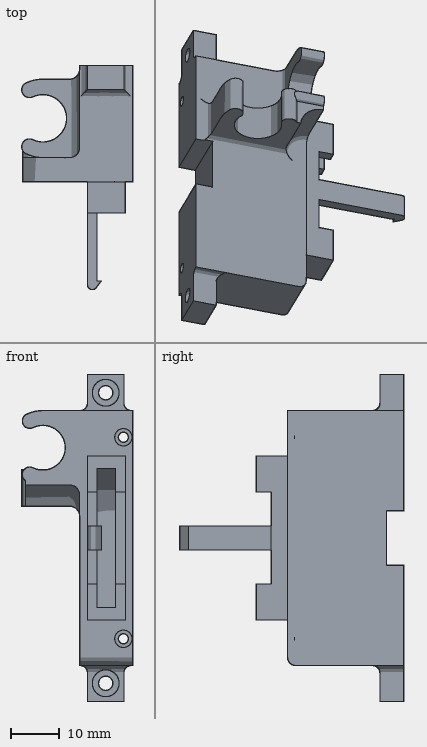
import cadquery as cq
import math

BODY_WIDTH = 11.0
BODY_DEPTH = 24.0
BODY_HEIGHT = 52.65
BODY_BOTTOM_ROUND = 1.7

EAR_LEFT = 1.6
EAR_WIDTH = 7.55
EAR_HEIGHT = 7.4
EAR_THICKNESS = 5.0
EAR_FILLET = 1.5
EAR_HOLE_DIAMETER = 2.9
EAR_BORE_DIAMETER = 5.55
EAR_BORE_DEPTH = 3.0
EAR_HOLE_RISE = 3.65

NOTCH_DEPTH = 3.6
NOTCH_HEIGHT = 11.2
NOTCH_TOP = BODY_HEIGHT - 20.7

SCREW_X = 9.05
SCREW_EDGE_DISTANCE = 5.55
SCREW_HOLE_DIAMETER = 2.0
SCREW_BORE_DIAMETER = 3.6
SCREW_BORE_DEPTH = 1.5

CLIP_AXIS_X = -7.55
FRONT_CLIP_BORE_RADIUS = 4.6
FRONT_CLIP_OUTER_RADIUS = 7.7
FRONT_CLIP_TIP_X = -11.8
FRONT_CLIP_THICKNESS = 5.0
LEVEL_CLIP_BORE_RADIUS = 4.85
LEVEL_CLIP_OUTER_RADIUS = 8.1
LEVEL_CLIP_TIP_X = -11.95
LEVEL_CLIP_THICKNESS = 7.55
LEVEL_CLIP_TOP = BODY_HEIGHT - 12.2
CLIP_FILLET = 2.0

WEB_LENGTH = 11.15
WEB_DEPTH = 6.75
WEB_HOLLOW_RADIUS = FRONT_CLIP_THICKNESS

BLOCK_LEFT = EAR_LEFT
BLOCK_WIDTH = 7.8
BLOCK_HEIGHT = 33.9
BLOCK_DEPTH = 6.5
BLOCK_END_HEIGHT = 7.5
BLOCK_MIDDLE_DEPTH = 3.4
SLOT_WIDTH = 3.8
SLOT_END_WALL = 2.6
SLOT_CURVE_HEIGHT = 9.4

LEVER_THICKNESS = 2.0
LEVER_HEIGHT = 5.0
LEVER_REACH = 22.3
HOOK_OVERHANG = 0.9
HOOK_SETBACK = 1.8

SELECTION_MARGIN = 0.1

MID_HEIGHT = BODY_HEIGHT / 2
FRONT_CLIP_AXIS_Z = BODY_HEIGHT - FRONT_CLIP_OUTER_RADIUS
FRONT_CLIP_BOTTOM = FRONT_CLIP_AXIS_Z - FRONT_CLIP_OUTER_RADIUS
LEVEL_CLIP_AXIS_Y = FRONT_CLIP_THICKNESS + LEVEL_CLIP_OUTER_RADIUS
LEVEL_CLIP_BOTTOM = LEVEL_CLIP_TOP - LEVEL_CLIP_THICKNESS


def box(x_range, y_range, z_range):
    """Box between two coordinates on each axis."""
    size = [high - low for low, high in (x_range, y_range, z_range)]
    return cq.Workplane("XY").box(*size, centered=False).translate((x_range[0], y_range[0], z_range[0]))


def clip_profile(plane, axis, bore_radius, outer_radius, tip_x):
    """C-shaped clip around `axis`, open toward -X, with round tips and a straight root at X = 0."""
    tip_radius = (outer_radius - bore_radius) / 2
    tip_dx = tip_x + tip_radius - axis[0]
    angle = math.acos(tip_dx / (bore_radius + tip_radius))

    def point(radius, at_angle):
        return (axis[0] + radius * math.cos(at_angle), axis[1] + radius * math.sin(at_angle))

    def tip_end(side):
        center = point(bore_radius + tip_radius, side * angle)
        turn = side * (angle + math.pi / 2)
        return (center[0] + tip_radius * math.cos(turn), center[1] + tip_radius * math.sin(turn))

    outer_middle = (math.pi / 2 + angle) / 2
    return (
        cq.Workplane(plane)
        .moveTo(0, axis[1] - outer_radius)
        .lineTo(0, axis[1] + outer_radius)
        .lineTo(axis[0], axis[1] + outer_radius)
        .threePointArc(point(outer_radius, outer_middle), point(outer_radius, angle))
        .threePointArc(tip_end(1), point(bore_radius, angle))
        .threePointArc(point(bore_radius, 0), point(bore_radius, -angle))
        .threePointArc(tip_end(-1), point(outer_radius, -angle))
        .threePointArc(point(outer_radius, -outer_middle), (axis[0], axis[1] - outer_radius))
        .close()
    )


def make_body():
    """Plain body with its lower front edge rounded."""
    body = box((0, BODY_WIDTH), (0, BODY_DEPTH), (0, BODY_HEIGHT))
    return body.edges("<Y and <Z").fillet(BODY_BOTTOM_ROUND)


def front_clip_profile():
    """Outline of the clip that is bored along Y."""
    axis = (CLIP_AXIS_X, FRONT_CLIP_AXIS_Z)
    return clip_profile("XZ", axis, FRONT_CLIP_BORE_RADIUS, FRONT_CLIP_OUTER_RADIUS, FRONT_CLIP_TIP_X)


def make_level_clip(top):
    """Level clip from its underside up to the height `top`."""
    axis = (CLIP_AXIS_X, LEVEL_CLIP_AXIS_Y)
    profile = clip_profile("XY", axis, LEVEL_CLIP_BORE_RADIUS, LEVEL_CLIP_OUTER_RADIUS, LEVEL_CLIP_TIP_X)
    return profile.extrude(top - LEVEL_CLIP_BOTTOM).translate((0, 0, LEVEL_CLIP_BOTTOM))


def make_web():
    """Straight web below the front clip's opening, with a quarter-round hollow in its underside."""
    web = box((-WEB_LENGTH, 0), (0, WEB_DEPTH), (LEVEL_CLIP_BOTTOM, LEVEL_CLIP_TOP))
    hollow = (
        cq.Workplane("YZ")
        .center(0, FRONT_CLIP_BOTTOM - WEB_HOLLOW_RADIUS)
        .circle(WEB_HOLLOW_RADIUS)
        .extrude(-WEB_LENGTH)
    )
    bore = (
        cq.Workplane("XZ")
        .center(CLIP_AXIS_X, FRONT_CLIP_AXIS_Z)
        .circle(FRONT_CLIP_BORE_RADIUS)
        .extrude(-WEB_DEPTH)
    )
    return web.cut(hollow).cut(bore)


def make_prong_extension():
    """Lower prong of the front clip, carried back until it meets the upright side of the level clip."""
    lower_prong_zone = box(
        (FRONT_CLIP_TIP_X, CLIP_AXIS_X), (0, WEB_DEPTH), (FRONT_CLIP_BOTTOM, FRONT_CLIP_AXIS_Z)
    )
    prong = front_clip_profile().extrude(-WEB_DEPTH).intersect(lower_prong_zone)
    return prong.cut(make_level_clip(FRONT_CLIP_AXIS_Z))


def make_clips():
    """Both clips and everything that joins them."""
    front_clip = front_clip_profile().extrude(-FRONT_CLIP_THICKNESS)
    level_clip = make_level_clip(LEVEL_CLIP_TOP)
    return front_clip.union(level_clip).union(make_web()).union(make_prong_extension())


def fillet_clip_roots(solid):
    """Round the inside corners between the clips and the left side of the body."""
    roots = cq.selectors.BoxSelector(
        (-SELECTION_MARGIN, SELECTION_MARGIN, LEVEL_CLIP_BOTTOM - SELECTION_MARGIN),
        (SELECTION_MARGIN, BODY_DEPTH - SELECTION_MARGIN, BODY_HEIGHT - SELECTION_MARGIN),
    )
    return solid.edges(roots).fillet(CLIP_FILLET)


def drill(solid, x, y, z, diameter, depth):
    """Cut a round hole running toward +Y from the point (x, y, z)."""
    cutter = cq.Workplane("XZ").circle(diameter / 2).extrude(-depth).translate((x, y, z))
    return solid.cut(cutter)


def add_ears(solid):
    """Add an ear to each end, with a counterbored hole and a fillet around its foot."""
    ear_front = BODY_DEPTH - EAR_THICKNESS
    ear_right = EAR_LEFT + EAR_WIDTH
    hole_x = EAR_LEFT + EAR_WIDTH / 2
    for end_z, outward in ((BODY_HEIGHT, 1), (0, -1)):
        tip_z = end_z + outward * EAR_HEIGHT
        hole_z = end_z + outward * EAR_HOLE_RISE
        z_range = (min(end_z, tip_z), max(end_z, tip_z))
        solid = solid.union(box((EAR_LEFT, ear_right), (ear_front, BODY_DEPTH), z_range))
        solid = drill(solid, hole_x, ear_front, hole_z, EAR_HOLE_DIAMETER, EAR_THICKNESS)
        solid = drill(solid, hole_x, ear_front, hole_z, EAR_BORE_DIAMETER, EAR_BORE_DEPTH)
        foot = cq.selectors.BoxSelector(
            (EAR_LEFT - SELECTION_MARGIN, ear_front - SELECTION_MARGIN, end_z - SELECTION_MARGIN),
            (ear_right + SELECTION_MARGIN, BODY_DEPTH - SELECTION_MARGIN, end_z + SELECTION_MARGIN),
        )
        solid = solid.edges(foot).fillet(EAR_FILLET)
    return solid


def cut_screw_holes(solid):
    """Cut the two counterbored screw holes from the front face."""
    for z in (SCREW_EDGE_DISTANCE, BODY_HEIGHT - SCREW_EDGE_DISTANCE):
        solid = drill(solid, SCREW_X, 0, z, SCREW_HOLE_DIAMETER, BODY_DEPTH)
        solid = drill(solid, SCREW_X, 0, z, SCREW_BORE_DIAMETER, SCREW_BORE_DEPTH)
    return solid


def cut_back_notch(solid):
    """Cut a notch across the back face, trimming the clip fillet next to it."""
    notch = box(
        (-CLIP_FILLET, BODY_WIDTH),
        (BODY_DEPTH - NOTCH_DEPTH, BODY_DEPTH),
        (NOTCH_TOP - NOTCH_HEIGHT, NOTCH_TOP),
    )
    return solid.cut(notch)


def make_block():
    """Front block, stepped down between its two ends."""
    block_sides = (BLOCK_LEFT, BLOCK_LEFT + BLOCK_WIDTH)
    bottom = MID_HEIGHT - BLOCK_HEIGHT / 2
    top = MID_HEIGHT + BLOCK_HEIGHT / 2
    block = box(block_sides, (-BLOCK_DEPTH, 0), (bottom, top))
    step = box(
        block_sides,
        (-BLOCK_DEPTH, -BLOCK_MIDDLE_DEPTH),
        (bottom + BLOCK_END_HEIGHT, top - BLOCK_END_HEIGHT),
    )
    return block.cut(step)


def make_slot():
    """Slot as deep as the block, with a floor that curves up to the block's front at both ends."""
    half_height = BLOCK_HEIGHT / 2 - SLOT_END_WALL
    half_floor = half_height - SLOT_CURVE_HEIGHT
    front_y = -BLOCK_DEPTH
    curve_radius = (SLOT_CURVE_HEIGHT**2 + BLOCK_DEPTH**2) / (2 * BLOCK_DEPTH)
    half_sweep = math.asin(SLOT_CURVE_HEIGHT / curve_radius) / 2
    middle_y = -curve_radius * (1 - math.cos(half_sweep))
    middle_z = half_floor + curve_radius * math.sin(half_sweep)
    slot = (
        cq.Workplane("YZ")
        .moveTo(front_y, -half_height)
        .threePointArc((middle_y, -middle_z), (0, -half_floor))
        .lineTo(0, half_floor)
        .threePointArc((middle_y, middle_z), (front_y, half_height))
        .close()
        .extrude(SLOT_WIDTH)
    )
    return slot.translate((BLOCK_LEFT + (BLOCK_WIDTH - SLOT_WIDTH) / 2, 0, MID_HEIGHT))


def make_lever():
    """Lever with a round tip and a pointed hook on its right side."""
    tip_radius = LEVER_THICKNESS / 2
    tip_center = (BLOCK_LEFT + tip_radius, -LEVER_REACH + tip_radius)
    right_side = BLOCK_LEFT + LEVER_THICKNESS
    hook_y = -LEVER_REACH + HOOK_SETBACK
    hook_dx = right_side + HOOK_OVERHANG - tip_center[0]
    hook_dy = hook_y - tip_center[1]
    tangent_angle = math.atan2(hook_dy, hook_dx) - math.acos(tip_radius / math.hypot(hook_dx, hook_dy))
    tangent_point = (
        tip_center[0] + tip_radius * math.cos(tangent_angle),
        tip_center[1] + tip_radius * math.sin(tangent_angle),
    )
    return (
        cq.Workplane("XY")
        .moveTo(BLOCK_LEFT, 0)
        .lineTo(BLOCK_LEFT, tip_center[1])
        .threePointArc((tip_center[0], -LEVER_REACH), tangent_point)
        .lineTo(right_side + HOOK_OVERHANG, hook_y)
        .lineTo(right_side, hook_y)
        .lineTo(right_side, 0)
        .close()
        .extrude(LEVER_HEIGHT)
        .translate((0, 0, MID_HEIGHT - LEVER_HEIGHT / 2))
    )


body = fillet_clip_roots(make_body().union(make_clips()))
body = add_ears(body)
body = cut_screw_holes(body)
body = cut_back_notch(body)
front_block = make_block().cut(make_slot())
result = body.union(front_block).union(make_lever())